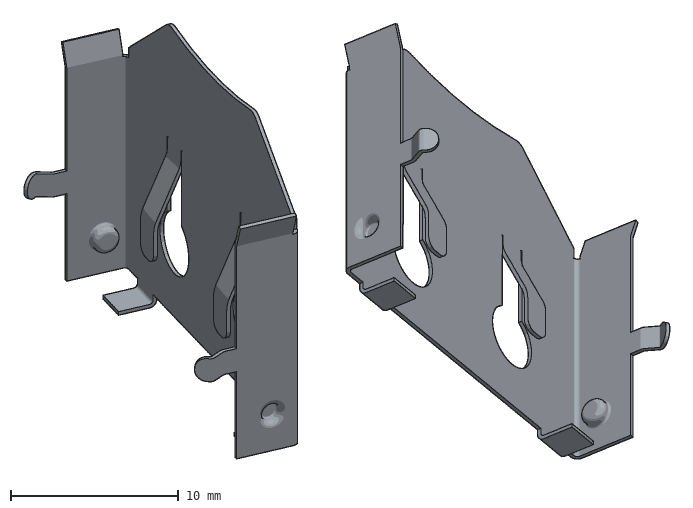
import cadquery as cq
import math


sheet = 0.25
bend_inner = 0.25
bend_outer = bend_inner + sheet
overall_width = 25.05
overall_depth = 6.95
channel_width = 24.0
wall_depth = 4.2
wall_bottom = 0.85
wall_top = 15.35
half_channel = channel_width / 2
panel_half_width = half_channel - bend_outer

shoulder_height = 16.05
crown_corner_x = 5.9
crown_corner_z = 20.58
crown_dip_z = 19.98
crown_corner_radius = 1.0

tongue_x = 5.1
tongue_width = 1.85
slot_width = 2.0
slot_top = 12.72
keyhole_z = 5.83
keyhole_radius = 2.0
tongue_root_length = 0.55
tongue_bend_inner = 1.88
tongue_angle = 25.0
tongue_reach = 2.05
tongue_tip_length = 2.13
tongue_tip_radius = 0.7

tab_x = 9.16
tab_width = 2.2
tab_reach = 2.53

flare_angle = 20.0
flare_bend_inner = 0.5

arm_bottom = 6.84
arm_width = 1.58
arm_root_length = 0.75
arm_out_angle = 28.0
arm_out_length = 0.85
arm_out_bend_inner = 0.3
arm_return_angle = 33.0
arm_peak_bend_inner = 0.08
arm_return_bend_inner = 0.13
arm_tip_radius = 0.78

dimple_y = -1.83
dimple_z = 3.33
dimple_radius = 0.85
dimple_height = 0.73
dimple_root_radius = 0.13
dimple_crown_radius = 0.35


def bent_strip(plane, start, heading, steps, width):
    """Sheet strip whose mid-line follows the steps, extruded by width along the plane normal.

    A step is a straight length, or a pair (angle, inner radius) with left turns positive.
    """
    def side_point(point, angle, side):
        reach = side * sheet / 2
        return (point[0] - reach * math.sin(angle), point[1] + reach * math.cos(angle))

    point = start
    angle = math.radians(heading)
    stations = [(point, angle)]
    bend_middles = [None]
    for step in steps:
        if isinstance(step, tuple):
            turn = math.radians(step[0])
            radius = step[1] + sheet / 2
            chord = 2 * radius * math.sin(abs(turn) / 4)
            middle = (point[0] + chord * math.cos(angle + turn / 4),
                      point[1] + chord * math.sin(angle + turn / 4))
            chord = 2 * radius * math.sin(abs(turn) / 2)
            point = (point[0] + chord * math.cos(angle + turn / 2),
                     point[1] + chord * math.sin(angle + turn / 2))
            bend_middles.append((middle, angle + turn / 2))
            angle += turn
        else:
            point = (point[0] + step * math.cos(angle), point[1] + step * math.sin(angle))
            bend_middles.append(None)
        stations.append((point, angle))

    def draw(outline, target, middle, side):
        end = side_point(*target, side)
        if middle is None:
            return outline.lineTo(*end)
        return outline.threePointArc(side_point(*middle, side), end)

    outline = plane.moveTo(*side_point(*stations[0], 1))
    for index in range(1, len(stations)):
        outline = draw(outline, stations[index], bend_middles[index], 1)
    outline = outline.lineTo(*side_point(*stations[-1], -1))
    for index in range(len(stations) - 1, 0, -1):
        outline = draw(outline, stations[index - 1], bend_middles[index], -1)
    return outline.close().extrude(width)


def sine(angle):
    return math.sin(math.radians(angle))


def cosine(angle):
    return math.cos(math.radians(angle))


def both_sides(right_body):
    """Right-hand body together with its mirror image about X = 0."""
    return right_body.union(right_body.mirror("YZ"))


def channel():
    """Bent channel: lower back panel and both side walls."""
    wall_length = wall_depth - bend_outer
    steps = [wall_length, (-90, bend_inner), 2 * panel_half_width, (-90, bend_inner), wall_length]
    plane = cq.Workplane("XY").workplane(offset=wall_bottom)
    start = (-half_channel + sheet / 2, -wall_depth)
    return bent_strip(plane, start, 90, steps, wall_top - wall_bottom)


def back_panel():
    """Flat panel with sloped shoulders and a dipped top edge."""
    return (
        cq.Workplane("XZ")
        .moveTo(-panel_half_width, wall_bottom)
        .lineTo(-panel_half_width, shoulder_height)
        .lineTo(-crown_corner_x, crown_corner_z)
        .threePointArc((0, crown_dip_z), (crown_corner_x, crown_corner_z))
        .lineTo(panel_half_width, shoulder_height)
        .lineTo(panel_half_width, wall_bottom)
        .close()
        .extrude(sheet)
        .edges("|Y and >Z")
        .fillet(crown_corner_radius)
    )


def keyhole():
    """Opening through the back panel: slot around the tongue, round hole at its tip."""
    slot_height = slot_top - keyhole_z
    slot = (
        cq.Workplane("XZ")
        .center(tongue_x, keyhole_z + slot_height / 2)
        .rect(slot_width, slot_height)
        .extrude(sheet)
    )
    hole = cq.Workplane("XZ").center(tongue_x, keyhole_z).circle(keyhole_radius).extrude(sheet)
    return slot.union(hole)


def tongue():
    """Spring tongue hanging from the slot top and stepped toward -Y."""
    bend_mid = tongue_bend_inner + sheet / 2
    bend_shift = 2 * bend_mid * (1 - cosine(tongue_angle))
    slope_length = (tongue_reach - sheet - bend_shift) / sine(tongue_angle)
    steps = [
        tongue_root_length,
        (-tongue_angle, tongue_bend_inner),
        slope_length,
        (tongue_angle, tongue_bend_inner),
        tongue_tip_length,
    ]
    plane = cq.Workplane("YZ").workplane(offset=tongue_x - tongue_width / 2)
    strip = bent_strip(plane, (-sheet / 2, slot_top), -90, steps, tongue_width)
    return strip.faces("<Z").edges("|Y").fillet(tongue_tip_radius)


def bottom_tab():
    steps = [wall_bottom - bend_outer, (-90, bend_inner), tab_reach - bend_outer]
    plane = cq.Workplane("YZ").workplane(offset=tab_x - tab_width / 2)
    return bent_strip(plane, (-sheet / 2, wall_bottom), -90, steps, tab_width)


def flare():
    """Wall lip leaning outward until it reaches the overall width."""
    spread = (overall_width - channel_width) / 2
    bend_shift = flare_bend_inner * (1 - cosine(flare_angle))
    length = (spread - bend_shift) / sine(flare_angle)
    steps = [(-flare_angle, flare_bend_inner), length]
    plane = cq.Workplane("XZ").workplane(offset=bend_outer)
    start = (half_channel - sheet / 2, wall_top)
    return bent_strip(plane, start, 90, steps, wall_depth - bend_outer)


def contact_arm():
    """Arm kinked outward to a peak, then back in to the overall depth."""
    peak_outer = arm_peak_bend_inner + sheet
    return_outer = arm_return_bend_inner + sheet
    tip_start = (
        wall_depth + arm_root_length
        + arm_out_bend_inner * sine(arm_out_angle)
        + arm_out_length * cosine(arm_out_angle)
        + peak_outer * sine(arm_out_angle)
        + return_outer * sine(arm_return_angle)
    )
    tip_length = (overall_depth - tip_start) / cosine(arm_return_angle)
    steps = [
        arm_root_length,
        (arm_out_angle, arm_out_bend_inner),
        arm_out_length,
        (-arm_out_angle, arm_peak_bend_inner),
        (-arm_return_angle, arm_return_bend_inner),
        tip_length,
    ]
    plane = cq.Workplane("XY").workplane(offset=arm_bottom)
    strip = bent_strip(plane, (half_channel - sheet / 2, -wall_depth), -90, steps, arm_width)
    tip_direction = cq.Vector(-sine(arm_return_angle), -cosine(arm_return_angle), 0)
    tip_face = strip.faces(cq.selectors.DirectionMinMaxSelector(tip_direction))
    return strip.newObject(tip_face.edges("not |Z").vals()).fillet(arm_tip_radius)


def dimple_plane():
    """Plane through the right dimple axis: local X points inward, local Y is the radius."""
    return cq.Plane(origin=(half_channel, dimple_y, dimple_z), xDir=(-1, 0, 0), normal=(0, 1, 0))


def dimple_bump():
    """Outer skin of the dimple, filled solid through the wall."""
    end = sheet + dimple_height
    root_end = sheet + dimple_root_radius
    root_mid = dimple_root_radius * (1 - cosine(45))
    crown_mid = dimple_crown_radius * (1 - cosine(45))
    return (
        cq.Workplane(dimple_plane())
        .lineTo(0, dimple_radius + dimple_root_radius)
        .lineTo(sheet, dimple_radius + dimple_root_radius)
        .threePointArc((sheet + root_mid, dimple_radius + root_mid), (root_end, dimple_radius))
        .lineTo(end - dimple_crown_radius, dimple_radius)
        .threePointArc(
            (end - crown_mid, dimple_radius - crown_mid),
            (end, dimple_radius - dimple_crown_radius),
        )
        .lineTo(end, 0)
        .close()
        .revolve(360, (0, 0), (1, 0))
    )


def dimple_hollow():
    """Recess pressed in from outside, one sheet thickness inside the bump."""
    hollow_radius = dimple_radius - sheet
    lip_radius = dimple_root_radius + sheet
    lip_mid = lip_radius * (1 - cosine(45))
    floor_radius = dimple_crown_radius - sheet
    floor_mid = floor_radius * (1 - cosine(45))
    floor = dimple_height
    return (
        cq.Workplane(dimple_plane())
        .lineTo(0, hollow_radius + lip_radius)
        .threePointArc((lip_mid, hollow_radius + lip_mid), (lip_radius, hollow_radius))
        .lineTo(floor - floor_radius, hollow_radius)
        .threePointArc(
            (floor - floor_mid, hollow_radius - floor_mid),
            (floor, hollow_radius - floor_radius),
        )
        .lineTo(floor, 0)
        .close()
        .revolve(360, (0, 0), (1, 0))
    )


body = channel().union(back_panel())
body = body.cut(both_sides(keyhole()))
for feature in (tongue, bottom_tab, flare, contact_arm, dimple_bump):
    body = body.union(both_sides(feature()))
result = body.cut(both_sides(dimple_hollow()))